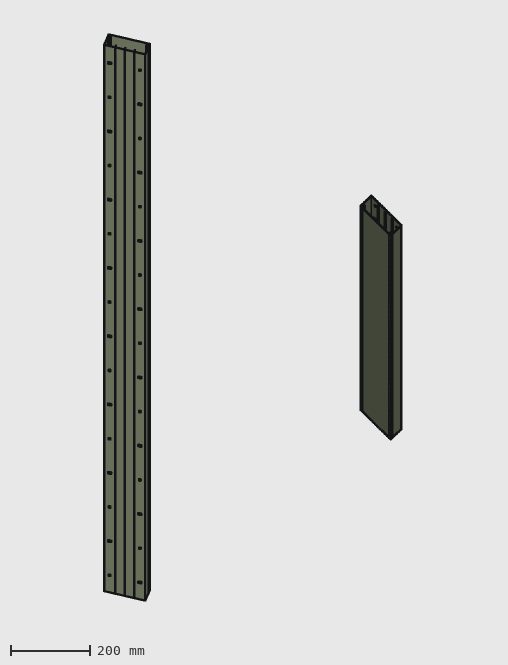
import cadquery as cq

length = 2000.0
width = 110.0
depth = 40.0
wall = 2.0

cover_skirt = 8.0

rim_inset = 5.0

rib_width = 2.0
rib_height = 5.0
rib_span = 50.0
rib_count = 3
rib_pitch = rib_span / (rib_count - 1)

hole_rows = 16
hole_pitch = length / hole_rows
hole_offset = 40.0
hole_diameter = 5.0
slot_length = 10.0

floor_outside = -depth / 2
floor_inside = floor_outside + wall
cover_outside = depth / 2
cover_inside = cover_outside - wall
shoulder = cover_outside - cover_skirt


def long_box(x_size, y_min, y_max, x_centre=0.0):
    """Full-length box between two Y levels, centred at x_centre."""
    return (
        cq.Workplane("XY")
        .box(x_size, y_max - y_min, length, centered=(True, False, True))
        .translate((x_centre, y_min, 0))
    )


def cut_mounting_holes(body):
    """Cut alternating slots and round holes through the floor, along both columns."""
    slot_places = []
    round_places = []
    for row in range(hole_rows):
        z = (length - hole_pitch) / 2 - row * hole_pitch
        slot_side = -1 if row % 2 == 0 else 1
        slot_places.append((slot_side * hole_offset, z))
        round_places.append((-slot_side * hole_offset, z))

    inside_plane = cq.Workplane("XZ", origin=(0, floor_inside, 0))
    slots = inside_plane.pushPoints(slot_places).slot2D(slot_length, hole_diameter).extrude(wall)
    rounds = inside_plane.pushPoints(round_places).circle(hole_diameter / 2).extrude(wall)
    return body.cut(slots).cut(rounds)


def add_ribs(body):
    """Stand the ribs on the inside of the floor, evenly spaced about its middle."""
    for index in range(rib_count):
        x = index * rib_pitch - rib_span / 2
        body = body.union(long_box(rib_width, floor_inside, floor_inside + rib_height, x))
    return body


def make_base():
    """Channel whose side walls step inwards at the shoulder and end in two rims under the cover."""
    rim_width = width - 2 * rim_inset
    body = long_box(width, floor_outside, shoulder)
    body = body.union(long_box(rim_width, shoulder, cover_inside))
    body = body.cut(long_box(width - 2 * wall, floor_inside, shoulder - wall))
    body = body.cut(long_box(rim_width - 2 * wall, shoulder - wall, cover_inside))
    return cut_mounting_holes(add_ribs(body))


def make_cover():
    """Flat cap with skirts that rest on the shoulders of the base."""
    cap = long_box(width, shoulder, cover_outside)
    return cap.cut(long_box(width - 2 * wall, shoulder, cover_inside))


base = make_base()
cover = make_cover()
result = cq.Compound.makeCompound([base.solids().val(), cover.solids().val()])